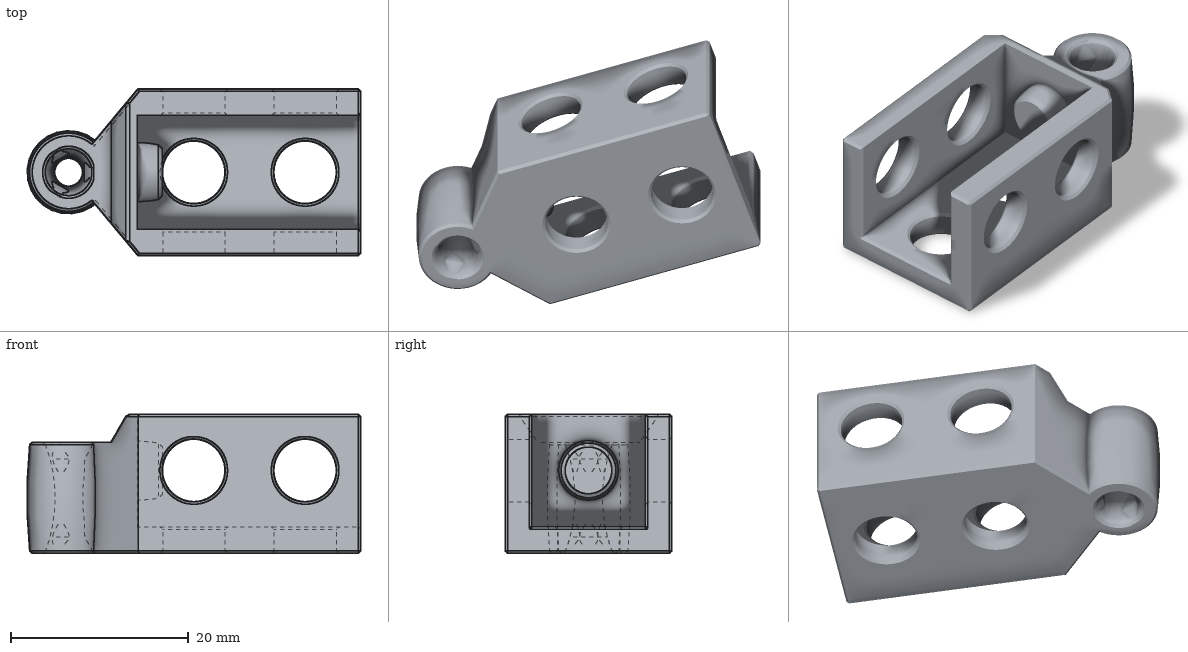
import cadquery as cq
import math

total_length = 37.5
width = 18.75
height = 15.65
edge_chamfer = 0.3

barrel_radius = 4.7
barrel_end_radius = 4.4
barrel_height = 12.5
barrel_middle = barrel_height / 2

waist_radius = 1.55
bore_end_radius = 2.62
bore_edge_chamfer = 0.3

flat_count = 3
flat_distance = 1.75
flat_width = 2.1
flat_depth = 1.88
lead_in_angle = 30.0

end_x = total_length - barrel_radius
shoulder_x = 7.8
channel_start_x = 7.7
wall = 3.0
floor = 3.0
slope_foot_x = 4.75
slope_angle = 30.0

hole_diameter = 7.0
hole_chamfer = 0.3
body_length = end_x - shoulder_x
hole_positions = [shoulder_x + body_length / 4, shoulder_x + body_length * 3 / 4]
channel_middle_z = (floor + height) / 2

boss_root_radius = 3.35
boss_tip_radius = 3.08
boss_length = 2.85
boss_chamfer = 0.45


def make_body():
    """Plate with a tapered nose, sloped front and bevelled outer edges."""
    half_width = width / 2
    outline = [(0, 0), (shoulder_x, -half_width), (end_x, -half_width),
               (end_x, half_width), (shoulder_x, half_width)]
    body = cq.Workplane("XY").polyline(outline).close().extrude(height)

    slope_run = (height - barrel_height) * math.tan(math.radians(slope_angle))
    nose_profile = [(0, barrel_height), (slope_foot_x, barrel_height),
                    (slope_foot_x + slope_run, height), (0, height)]
    nose_cut = cq.Workplane("XZ").polyline(nose_profile).close().extrude(half_width, both=True)
    body = body.cut(nose_cut)
    return body.faces(">Z or <Z or >X").chamfer(edge_chamfer)


def make_channel():
    """Channel open to the top and to the rear, flared at the rear face."""
    channel_width = width - 2 * wall
    channel = (
        cq.Workplane("XY")
        .box(end_x - channel_start_x, channel_width, height, centered=(False, True, False))
        .translate((channel_start_x, 0, floor))
    )
    flare = (
        cq.Workplane("YZ")
        .rect(channel_width, 2 * (height - floor))
        .extrude(edge_chamfer, taper=-45)
        .translate((end_x - edge_chamfer, 0, height))
    )
    return channel.union(flare)


def make_barrel():
    """Bulging barrel with chamfered ends."""
    flat_radius = barrel_end_radius - edge_chamfer
    top_edge_z = barrel_height - edge_chamfer
    return (
        cq.Workplane("XZ")
        .moveTo(0, 0)
        .lineTo(flat_radius, 0)
        .lineTo(barrel_end_radius, edge_chamfer)
        .threePointArc((barrel_radius, barrel_middle), (barrel_end_radius, top_edge_z))
        .lineTo(flat_radius, barrel_height)
        .lineTo(0, barrel_height)
        .close()
        .revolve(360, (0, 0, 0), (0, 1, 0))
    )


def make_bore():
    """Hourglass bore, narrowed by raised flats."""
    mouth_radius = bore_end_radius + bore_edge_chamfer
    top_edge_z = barrel_height - bore_edge_chamfer
    bore = (
        cq.Workplane("XZ")
        .moveTo(0, 0)
        .lineTo(mouth_radius, 0)
        .lineTo(bore_end_radius, bore_edge_chamfer)
        .threePointArc((waist_radius, barrel_middle), (bore_end_radius, top_edge_z))
        .lineTo(mouth_radius, barrel_height)
        .lineTo(0, barrel_height)
        .close()
        .revolve(360, (0, 0, 0), (0, 1, 0))
    )
    lead_in_drop = (mouth_radius - flat_distance) / math.tan(math.radians(lead_in_angle))
    pad_profile = [(flat_distance, flat_depth),
                   (mouth_radius, flat_depth - lead_in_drop),
                   (mouth_radius, barrel_height - flat_depth + lead_in_drop),
                   (flat_distance, barrel_height - flat_depth)]
    pad = cq.Workplane("XZ").polyline(pad_profile).close().extrude(flat_width / 2, both=True)
    for index in range(flat_count):
        bore = bore.cut(pad.rotate((0, 0, 0), (0, 0, 1), index * 360 / flat_count))
    return bore


def make_boss():
    """Curved boss pointing into the channel along +X."""
    tip_x = channel_start_x + boss_length
    chamfer_x = tip_x - boss_chamfer
    radius_loss = boss_root_radius - boss_tip_radius
    boss_middle = ((channel_start_x + chamfer_x) / 2, boss_root_radius - radius_loss / 4)
    return (
        cq.Workplane("XY")
        .moveTo(channel_start_x, 0)
        .lineTo(channel_start_x, boss_root_radius)
        .threePointArc(boss_middle, (chamfer_x, boss_tip_radius))
        .lineTo(tip_x, boss_tip_radius - boss_chamfer)
        .lineTo(tip_x, 0)
        .close()
        .revolve(360, (0, 0, 0), (1, 0, 0))
        .translate((0, 0, channel_middle_z))
    )


def make_hole(thickness):
    """Hole tool along Z through a wall of the given thickness, chamfered at both faces."""
    radius = hole_diameter / 2
    mouth_radius = radius + hole_chamfer
    profile = [(0, 0), (mouth_radius, 0), (radius, hole_chamfer),
               (radius, thickness - hole_chamfer), (mouth_radius, thickness), (0, thickness)]
    return cq.Workplane("XZ").polyline(profile).close().revolve(360, (0, 0, 0), (0, 1, 0))


def cut_holes(part):
    """Two holes through each side wall and two through the floor."""
    floor_hole = make_hole(floor)
    wall_hole = make_hole(wall).rotate((0, 0, 0), (1, 0, 0), -90)
    for x in hole_positions:
        part = part.cut(floor_hole.translate((x, 0, 0)))
        for start_y in (-width / 2, width / 2 - wall):
            part = part.cut(wall_hole.translate((x, start_y, channel_middle_z)))
    return part


result = make_body().cut(make_channel())
result = result.union(make_barrel()).cut(make_bore())
result = cut_holes(result).union(make_boss())